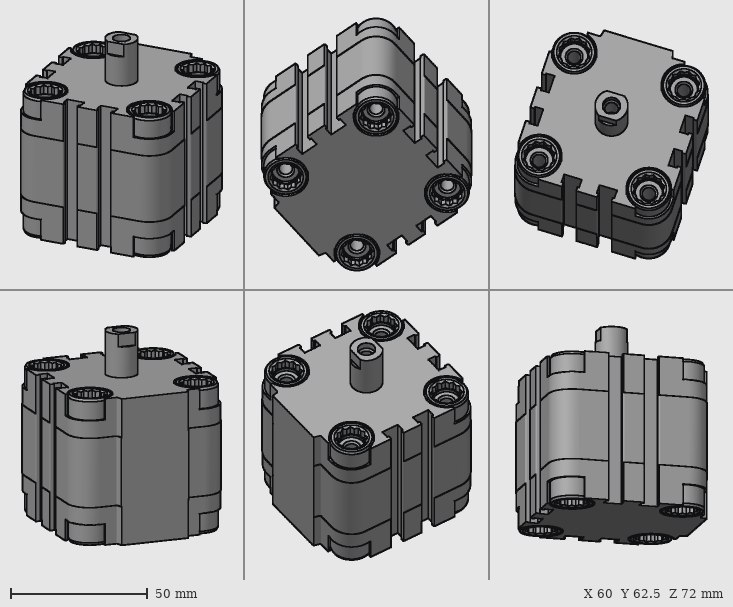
import cadquery as cq
import math

total_height = 72.0
body_height = 55.5
cap_height = 14.6
barrel_height = body_height - 2 * cap_height

body_width = 60.0
body_depth = 62.5
half_width = body_width / 2
bolt_offset = 21.0
cap_inset = 0.15

pad_reach = body_depth - half_width
pad_foot_radius = 0.5
pad_top_half_width = 13.3
pad_base_half_width = 14.0

slot_offset = 6.8
slot_mouth_width = 5.4
slot_inner_width = 6.8
slot_lip_depth = 1.7
slot_depth = 4.9
slot_edge_radius = 0.5
slot_side_angles = (-90, 0, 90)

head_diameter = 16.0
head_pocket_diameter = 16.55
head_height = 8.0
head_chamfer_width = 0.5
head_chamfer_height = 1.0
notch_inner_edge = 18.65

socket_across_flats = 10.0
socket_mouth_diameter = 12.8
socket_mouth_depth = 0.7
socket_depth = 3.7
recess_diameter = 10.1
recess_depth = 5.0

thread_diameter = 6.4
bore_diameter = 4.9
hole_chamfer = (thread_diameter - bore_diameter) / 2

rod_diameter = 12.0
rod_flat_width = 10.0
rod_flat_height = 4.8
rod_counterbore_depth = 2.7
rod_bore_depth = 14.4
drill_tip_half_angle = math.radians(59)

bolt_points = [(sx * bolt_offset, sy * bolt_offset) for sx in (-1, 1) for sy in (-1, 1)]


def cone(bottom_radius, top_radius, height, base_z):
    """Upright cone on the Z axis, standing on base_z."""
    return cq.Workplane(cq.Solid.makeCone(bottom_radius, top_radius, height, cq.Vector(0, 0, base_z)))


def cylinder(diameter, bottom_z, top_z):
    """Upright cylinder on the Z axis."""
    return cq.Workplane("XY", origin=(0, 0, bottom_z)).circle(diameter / 2).extrude(top_z - bottom_z)


def slot_cutter():
    """One undercut slot in the -Y side, centred on X = 0, with rounded mouth edges."""
    face = -half_width
    mouth = slot_mouth_width / 2
    inner = slot_inner_width / 2
    lip = face + slot_lip_depth
    floor = face + slot_depth
    radius = slot_edge_radius
    bulge = radius * (1 - math.sqrt(0.5))
    return (
        cq.Workplane("XY")
        .moveTo(-mouth - radius, face)
        .threePointArc((-mouth - bulge, face + bulge), (-mouth, face + radius))
        .lineTo(-mouth, lip)
        .lineTo(-inner, lip)
        .lineTo(-inner, floor)
        .lineTo(inner, floor)
        .lineTo(inner, lip)
        .lineTo(mouth, lip)
        .lineTo(mouth, face + radius)
        .threePointArc((mouth + bulge, face + bulge), (mouth + radius, face))
        .close()
        .extrude(body_height)
    )


def outline_block(height, base_z, inset):
    """Block with rounded corners and the +Y pad, its sides set back by inset."""
    half = half_width - inset
    top_half = pad_top_half_width - inset
    base_half = pad_base_half_width - inset
    plane = cq.Workplane("XY", origin=(0, 0, base_z))
    block = plane.rect(2 * half, 2 * half).extrude(height)
    block = block.edges("|Z").fillet(half - bolt_offset)
    pad = (
        plane.moveTo(-base_half, 0)
        .lineTo(-base_half, half)
        .lineTo(-top_half, pad_reach)
        .lineTo(top_half, pad_reach)
        .lineTo(base_half, half)
        .lineTo(base_half, 0)
        .close()
        .extrude(height)
    )
    block = block.union(pad)
    for x in (-base_half, base_half):
        foot = cq.selectors.NearestToPointSelector((x, half, base_z + height / 2))
        block = block.edges("|Z").edges(foot).fillet(pad_foot_radius)
    return block


def twelve_point_prism(bottom_z, top_z):
    """Two hexagonal prisms turned 30 degrees to each other."""
    across_corners = socket_across_flats / math.cos(math.pi / 6)
    hexagon = (
        cq.Workplane("XY", origin=(0, 0, bottom_z)).polygon(6, across_corners).extrude(top_z - bottom_z)
    )
    return hexagon.union(hexagon.rotate((0, 0, 0), (0, 0, 1), 30))


def screw_head(top_z):
    """Round screw head on the Z axis, chamfered at its top edge."""
    shoulder_z = top_z - head_chamfer_height
    radius = head_diameter / 2
    head = cylinder(head_diameter, top_z - head_height, shoulder_z)
    return head.union(cone(radius, radius - head_chamfer_width, head_chamfer_height, shoulder_z))


def screw_socket(top_z):
    """Everything bored out of a screw: socket, recess and threaded hole."""
    mouth_z = top_z - socket_mouth_depth
    socket_z = top_z - socket_depth
    recess_z = top_z - recess_depth
    mouth = cone(recess_diameter / 2, socket_mouth_diameter / 2, socket_mouth_depth, mouth_z)
    countersink = cone(bore_diameter / 2, thread_diameter / 2, hole_chamfer, recess_z - hole_chamfer)
    return (
        twelve_point_prism(socket_z, top_z)
        .union(mouth)
        .union(cylinder(recess_diameter, recess_z, socket_z))
        .union(countersink)
        .union(cylinder(bore_diameter, body_height / 2, recess_z))
    )


def cut_slots(housing):
    """Slots over the full height of three sides."""
    cutter = slot_cutter()
    for angle in slot_side_angles:
        for side in (-1, 1):
            slot = cutter.translate((side * slot_offset, 0, 0))
            housing = housing.cut(slot.rotate((0, 0, 0), (0, 0, 1), angle))
    return housing


def cut_at_both_ends(housing, cutter):
    """Cuts the shape out at the front end and, mirrored, at the rear end."""
    mirrored = cutter.mirror("XY").translate((0, 0, body_height))
    return housing.cut(cutter).cut(mirrored)


def add_screw_heads(housing):
    """Notches every corner at both ends and puts a bored screw head in each notch."""
    notch_size = half_width - notch_inner_edge
    notch_centre = (half_width + notch_inner_edge) / 2
    head_base_z = body_height - head_height
    notch = cq.Workplane("XY", origin=(0, 0, head_base_z)).rect(notch_size, notch_size).extrude(head_height)
    pocket = cylinder(head_pocket_diameter, head_base_z, body_height)
    front_head = screw_head(body_height)
    rear_head = front_head.mirror("XY").translate((0, 0, body_height))
    socket = screw_socket(body_height)
    for x, y in bolt_points:
        notch_at = (math.copysign(notch_centre, x), math.copysign(notch_centre, y), 0)
        housing = cut_at_both_ends(housing, notch.translate(notch_at))
        housing = cut_at_both_ends(housing, pocket.translate((x, y, 0)))
        for head in (front_head, rear_head):
            housing = housing.union(head.translate((x, y, 0)))
        housing = cut_at_both_ends(housing, socket.translate((x, y, 0)))
    return housing


def make_housing():
    """Housing standing on Z = 0: barrel, two end caps and the screw heads."""
    housing = outline_block(barrel_height, cap_height, 0)
    for cap_base_z in (0, cap_height + barrel_height):
        housing = housing.union(outline_block(cap_height, cap_base_z, cap_inset))
    return add_screw_heads(cut_slots(housing))


def make_rod():
    """Piston rod from the front face up, with wrench flats and a blind threaded hole."""
    rod = cylinder(rod_diameter, body_height, total_height)
    flat_zone = cq.Workplane("XY", origin=(0, 0, total_height - rod_flat_height))
    collar = flat_zone.rect(2 * rod_diameter, 2 * rod_diameter).rect(2 * rod_diameter, rod_flat_width)
    rod = rod.cut(collar.extrude(rod_flat_height))

    counterbore_z = total_height - rod_counterbore_depth
    bore_z = total_height - rod_bore_depth
    tip_height = bore_diameter / 2 / math.tan(drill_tip_half_angle)
    rod = rod.cut(cylinder(thread_diameter, counterbore_z, total_height))
    rod = rod.cut(cone(bore_diameter / 2, thread_diameter / 2, hole_chamfer, counterbore_z - hole_chamfer))
    rod = rod.cut(cylinder(bore_diameter, bore_z, counterbore_z))
    return rod.cut(cone(0, bore_diameter / 2, tip_height, bore_z - tip_height))


housing = make_housing()
rod = make_rod()

result = cq.Compound.makeCompound([housing.val(), rod.val()])